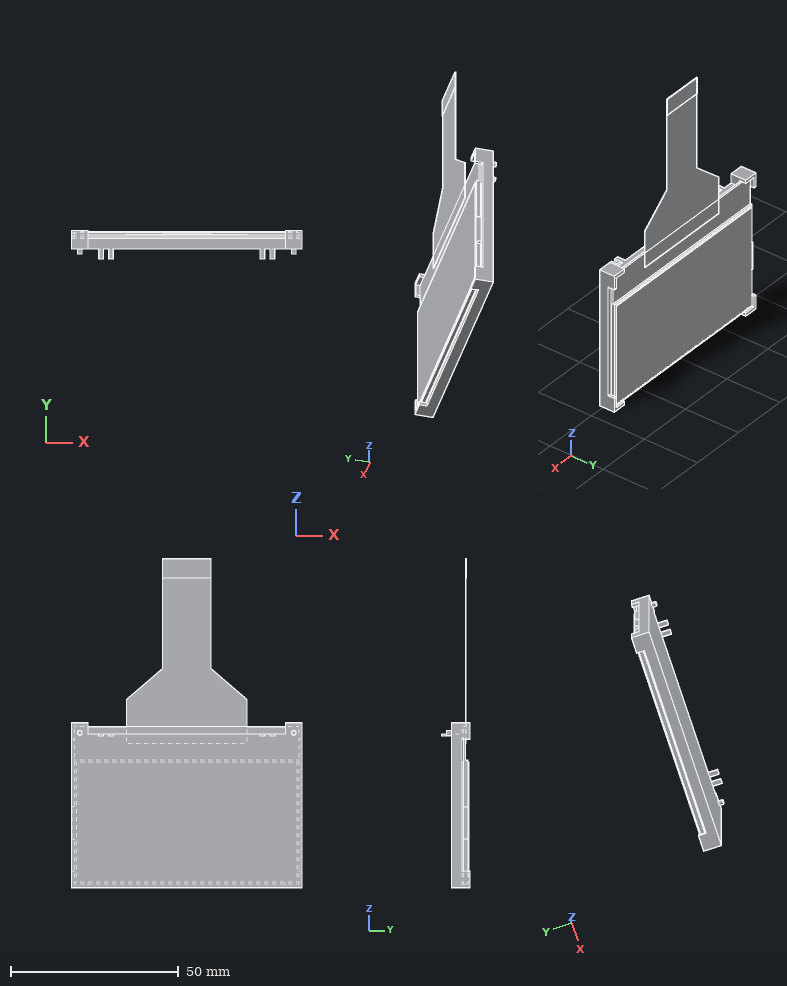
import cadquery as cq

width = 68.8
height = 49.2
depth = 5.6
corner = 5.0
seat_y = 3.2
notch_z = 45.9

peg_diameter = 1.5
peg_length = 1.5
peg_chamfer = 0.1
peg_drop = 3.0
tab_width = 1.5
tab_length = 2.9
tab_thickness = 0.7
tab_pitch = 2.9
outer_tab_x = 25.5

side_margin = 1.0
end_margin = 1.2
polarizer_thickness = 0.34
glass_thickness = 0.67
rear_glass_top = 38.1
polarizer_inset = 0.6

seal_length = 9.8
seal_z = 19.3
seal_bulge = 0.8
seal_rounding = 0.64

flex_thickness = 0.2
flex_bottom = 43.0
flex_wide = 36.0
flex_narrow = 14.5
flex_shoulder_z = 56.1
flex_neck_z = 65.3
flex_top = 98.1
stiffener_thickness = 0.1
stiffener_length = 5.8

glass_width = width - 2 * side_margin
glass_bottom = end_margin
glass_top = height - end_margin
glass_y = seat_y + polarizer_thickness
glass_middle_y = glass_y + glass_thickness
glass_back_y = glass_middle_y + glass_thickness


def block(x_size, y_from, y_to, z_from, z_to, x_middle=0):
    """Box centred on x_middle, between the given Y and Z limits."""
    return (
        cq.Workplane("XY")
        .box(x_size, y_to - y_from, z_to - z_from, centered=(True, False, False))
        .translate((x_middle, y_from, z_from))
    )


def make_housing():
    """Backlight housing with corner posts around the glass, pegs and solder tabs."""
    body = block(width, 0, depth, 0, height)
    body = body.cut(block(width, seat_y, depth, corner, height - corner))
    body = body.cut(block(width - 2 * corner, seat_y, depth, 0, height))
    body = body.cut(block(glass_width, seat_y, depth, glass_bottom, glass_top))
    body = body.cut(block(width - 2 * corner, 0, depth, notch_z, height))
    for side in (-1, 1):
        peg_x = side * (width - corner) / 2
        peg = (
            cq.Workplane("XZ", origin=(peg_x, 0, height - peg_drop))
            .circle(peg_diameter / 2)
            .extrude(peg_length)
            .faces("<Y")
            .chamfer(peg_chamfer)
        )
        body = body.union(peg)
        for tab_x in (outer_tab_x, outer_tab_x - tab_pitch):
            tab = block(tab_width, -tab_length, 0, notch_z - tab_thickness, notch_z, side * tab_x)
            body = body.union(tab)
    return body


def make_seal():
    """Rounded pad on the left glass edge."""
    pad_x = -(glass_width + seal_bulge) / 2
    pad = block(seal_bulge, glass_y, glass_back_y, seal_z - seal_length / 2, seal_z + seal_length / 2, pad_x)
    return pad.faces("<X").edges().fillet(seal_rounding)


def make_panel():
    """Two glass plates with a polarizer on each outer face; the rear glass stops short of the top."""
    polarizer_width = glass_width - 2 * polarizer_inset
    polarizer_bottom = glass_bottom + polarizer_inset
    polarizer_top = rear_glass_top - polarizer_inset
    panel = block(glass_width, glass_y, glass_middle_y, glass_bottom, glass_top)
    panel = panel.union(block(glass_width, glass_middle_y, glass_back_y, glass_bottom, rear_glass_top))
    for y in (seat_y, glass_back_y):
        polarizer = block(polarizer_width, y, y + polarizer_thickness, polarizer_bottom, polarizer_top)
        panel = panel.union(polarizer)
    return panel.union(make_seal())


def make_flex():
    """Cable bonded to the bare ledge of the front glass, stiffened at its free end."""
    flex_back_y = glass_middle_y + flex_thickness
    half_outline = [
        (flex_wide / 2, flex_bottom),
        (flex_wide / 2, flex_shoulder_z),
        (flex_narrow / 2, flex_neck_z),
        (flex_narrow / 2, flex_top),
    ]
    mirrored = [(-x, z) for x, z in reversed(half_outline)]
    flex = (
        cq.Workplane("XZ", origin=(0, flex_back_y, 0))
        .polyline(half_outline + mirrored)
        .close()
        .extrude(flex_thickness)
    )
    stiffener = block(
        flex_narrow, flex_back_y, flex_back_y + stiffener_thickness, flex_top - stiffener_length, flex_top
    )
    return flex.union(stiffener)


housing = make_housing()
panel = make_panel()
flex = make_flex()

result = cq.Compound.makeCompound([housing.val(), panel.val(), flex.val()])